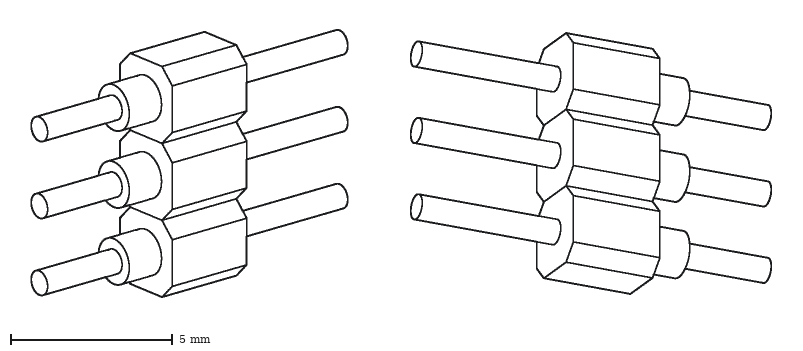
import cadquery as cq

position_count = 3
pitch = 2.54

block_length = 3.0
block_chamfer = 0.5

collar_diameter = 1.5
collar_length = 1.3

pin_diameter = 0.8
front_pin_length = 3.0
rear_pin_length = 4.8

collar_front = -collar_length
pin_front = collar_front - front_pin_length
pin_rear = block_length + rear_pin_length


def cylinder_along_y(diameter, start, end):
    """Round bar on the Y axis between two Y positions."""
    return (
        cq.Workplane("XZ", origin=(0, start, 0))
        .circle(diameter / 2)
        .extrude(start - end)
    )


def make_block():
    """Square block of one pitch with its four long edges chamfered."""
    return (
        cq.Workplane("XY")
        .box(pitch, block_length, pitch, centered=(True, False, True))
        .edges("|Y")
        .chamfer(block_chamfer)
    )


def make_position(height):
    """One header position as a single solid: block, collar and pin."""
    collar = cylinder_along_y(collar_diameter, collar_front, block_length / 2)
    pin = cylinder_along_y(pin_diameter, pin_front, pin_rear)
    return make_block().union(collar).union(pin).translate((0, 0, height))


lowest_height = -pitch * (position_count - 1) / 2
positions = [make_position(lowest_height + i * pitch) for i in range(position_count)]

result = cq.Compound.makeCompound([position.val() for position in positions])